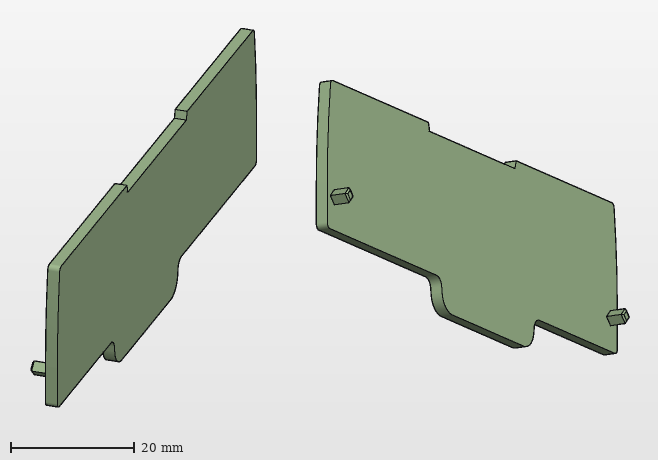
import cadquery as cq
import math

length = 94.6
height = 30.6
thickness = 2.1
half_length = length / 2
corner_radius = 0.85

bow_height = 17.7
bow_inset = 1.1

notch_depth = 1.4
notch_top_half_width = 14.3
notch_floor_half_width = 13.9

tab_center_y = -5.1
tab_depth = 5.5
tab_half_width = 15.3
tab_taper_angle = 8.0
tab_root_radius = 1.7
tab_corner_radius = 3.4

peg_length = 3.0
peg_side = 1.8
peg_chamfer = 0.3
peg_end_offset = 2.3
peg_height_above_edge = 5.6

bow_start = height - bow_height
tab_tip_half_width = tab_half_width - tab_depth * math.tan(math.radians(tab_taper_angle))
bow_radius = (bow_height**2 + bow_inset**2) / (2 * bow_inset)
bow_mid_rise = bow_height / 2
bow_mid_inset = bow_radius - math.sqrt(bow_radius**2 - bow_mid_rise**2)


def round_corners(body, half_span, z, radius, center_y=0):
    """Round the X-direction edges at height z, half_span to either side of center_y."""
    tolerance = 0.01
    for side in (-1, 1):
        y = center_y + side * half_span
        corner = cq.selectors.BoxSelector(
            (-tolerance, y - tolerance, z - tolerance),
            (thickness + tolerance, y + tolerance, z + tolerance),
        )
        body = body.edges(corner).fillet(radius)
    return body


def make_plate():
    half_profile = (
        cq.Workplane("YZ")
        .moveTo(0, tab_depth)
        .lineTo(half_length, tab_depth)
        .lineTo(half_length, bow_start)
        .threePointArc(
            (half_length - bow_mid_inset, bow_start + bow_mid_rise),
            (half_length - bow_inset, height),
        )
        .lineTo(notch_top_half_width, height)
        .lineTo(notch_floor_half_width, height - notch_depth)
        .lineTo(0, height - notch_depth)
        .close()
    )
    half_plate = half_profile.extrude(thickness)
    tab = (
        cq.Workplane("YZ")
        .polyline([
            (tab_center_y - tab_half_width, tab_depth),
            (tab_center_y - tab_tip_half_width, 0),
            (tab_center_y + tab_tip_half_width, 0),
            (tab_center_y + tab_half_width, tab_depth),
        ])
        .close()
        .extrude(thickness)
    )
    plate = half_plate.union(half_plate.mirror("XZ")).union(tab).clean()
    plate = round_corners(plate, tab_tip_half_width, 0, tab_corner_radius, tab_center_y)
    plate = round_corners(plate, tab_half_width, tab_depth, tab_root_radius, tab_center_y)
    plate = round_corners(plate, half_length, tab_depth, corner_radius)
    return round_corners(plate, half_length - bow_inset, height, corner_radius)


def make_peg(y):
    """Peg with a chamfered tip, its square section turned 45 degrees."""
    z = tab_depth + peg_height_above_edge
    return (
        cq.Workplane("YZ")
        .rect(peg_side, peg_side)
        .extrude(-peg_length)
        .faces("<X")
        .chamfer(peg_chamfer)
        .rotate((0, 0, 0), (1, 0, 0), 45)
        .translate((0, y, z))
    )


result = make_plate()
for end in (-1, 1):
    result = result.union(make_peg(end * (half_length - peg_end_offset)))